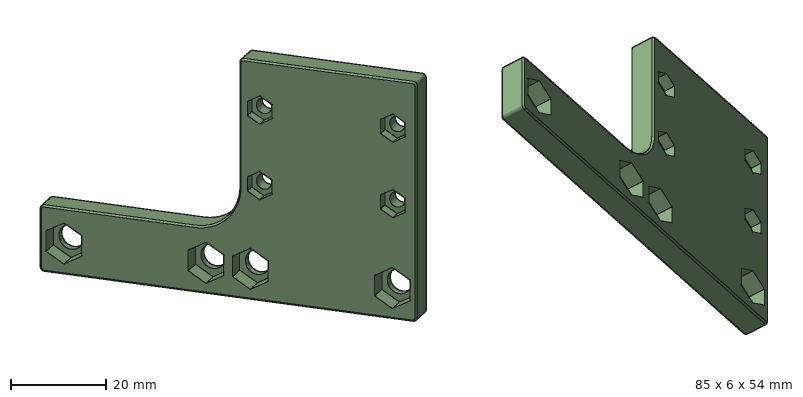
import cadquery as cq
import math

length = 85.0
height = 54.0
thickness = 6.0
arm_height = 15.0
panel_width = 40.0
inner_radius = 10.0
corner_radius = 1.0
edge_break = 0.4

large_hole_diameter = 5.5
large_nut_width = 8.0
large_nut_depth = 4.2
large_spacing = 32.0
large_side_margin = 5.5
large_row_z = 7.0

small_hole_diameter = 3.4
small_nut_width = 5.5
small_nut_depth = 2.6
small_side_margin = 5.4
small_spacing_x = 30.0
small_spacing_z = 17.0
small_lower_row_z = 26.0

panel_left = length - panel_width
large_last_x = length - large_side_margin
small_last_x = length - small_side_margin

large_centers = [
    (large_side_margin, large_row_z),
    (large_side_margin + large_spacing, large_row_z),
    (large_last_x - large_spacing, large_row_z),
    (large_last_x, large_row_z),
]
small_centers = [
    (small_last_x - column * small_spacing_x, small_lower_row_z + row * small_spacing_z)
    for column in range(2)
    for row in range(2)
]


def make_plate():
    """L-shaped plate with rounded corners and broken front and back edges."""
    outline = [
        (0, 0),
        (length, 0),
        (length, height),
        (panel_left, height),
        (panel_left, arm_height),
        (0, arm_height),
    ]
    plate = cq.Workplane("XZ").polyline(outline).close().extrude(-thickness)
    inner_corner = cq.selectors.NearestToPointSelector((panel_left, thickness / 2, arm_height))
    outer_corners = cq.selectors.ParallelDirSelector(cq.Vector(0, 1, 0)) - inner_corner
    plate = plate.edges(outer_corners).fillet(corner_radius)
    plate = plate.edges("|Y").edges(inner_corner).fillet(inner_radius)
    return plate.faces("<Y or >Y").edges().chamfer(edge_break)


def screw_cutter(centers, hole_diameter, nut_width, nut_depth):
    """Through holes, each with a hexagonal nut pocket in the front face, points up and down."""
    holes = (
        cq.Workplane("XZ").pushPoints(centers).circle(hole_diameter / 2).extrude(-thickness)
    )
    hexagon_sides = 6
    across_points = nut_width / math.cos(math.pi / hexagon_sides)
    hexagon = cq.Sketch().regularPolygon(across_points / 2, hexagon_sides)
    pockets = cq.Workplane("XZ").pushPoints(centers).placeSketch(hexagon).extrude(-nut_depth)
    return holes.union(pockets)


result = (
    make_plate()
    .cut(screw_cutter(large_centers, large_hole_diameter, large_nut_width, large_nut_depth))
    .cut(screw_cutter(small_centers, small_hole_diameter, small_nut_width, small_nut_depth))
)